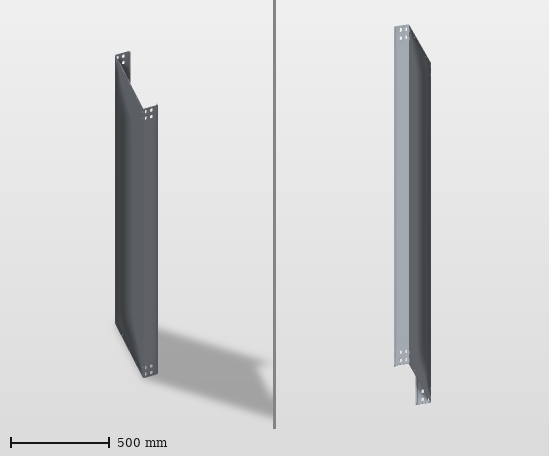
import cadquery as cq

width = 400.0
depth = 80.0
height = 2000.0
sheet = 2.0

lip_width = 10.0
lip_thickness = 8.0
rear_layer = 5.0
rear_edge_radius = 3.0
wall_bend_radius = 5.0

end_inset = 25.0
end_pitch = 48.0
end_slot_length = 25.0
narrow_slot_width = 8.0
narrow_slot_inset = 15.0
wide_slot_width = 15.0
wide_slot_inset = 45.0

row_inset = 18.0
row_pitch = 100.0
row_slot_length = 15.0
row_hole_diameter = 8.0

half_width = width / 2
half_height = height / 2
front_y = -depth / 2
rear_y = depth / 2
end_insets = (end_inset, end_inset + end_pitch)


def upright_bar(bar_width, front, rear):
    """Full-height bar centred on X between two Y positions."""
    return cq.Workplane("XY", origin=(0, (front + rear) / 2, 0)).box(bar_width, rear - front, height)


def channel():
    """Front face and two side walls ending in inward lips rounded in two layers."""
    fold_y = rear_y - rear_layer
    main_layer = upright_bar(width, front_y, fold_y).edges("|Z and >Y").fillet(wall_bend_radius)
    back_layer = upright_bar(width, fold_y, rear_y).edges("|Z and >Y").fillet(rear_edge_radius)
    cavity = upright_bar(width - 2 * sheet, front_y + sheet, rear_y - lip_thickness)
    opening = upright_bar(width - 2 * lip_width, front_y + sheet, rear_y)
    return main_layer.union(back_layer).cut(cavity).cut(opening)


def points_at_both_ends(positions, insets):
    """Points at each position, at each inset from the top and bottom ends."""
    return [
        (position, end * (half_height - inset))
        for position in positions
        for inset in insets
        for end in (-1, 1)
    ]


def front_points(positions, insets):
    """Workplane on the inner side of the front face, facing outward, with points."""
    plane = cq.Workplane("XZ", origin=(0, front_y + sheet, 0))
    return plane.pushPoints(points_at_both_ends(positions, insets))


def corner_slots():
    """Upright slots in the corners of the front face."""
    corner_x = half_width - narrow_slot_inset
    points = front_points((-corner_x, corner_x), end_insets)
    return points.slot2D(end_slot_length, narrow_slot_width, 90).extrude(sheet)


def row_slots():
    """Flat slots on either side of the middle hole at each end of the front face."""
    points = front_points((-row_pitch, row_pitch), (row_inset,))
    return points.slot2D(row_slot_length, row_hole_diameter).extrude(sheet)


def row_middle_holes():
    """Round hole at the middle of each end of the front face."""
    points = front_points((0,), (row_inset,))
    return points.circle(row_hole_diameter / 2).extrude(sheet)


def side_slots(inset, slot_width):
    """Upright slots through both side walls at one distance from the front face."""
    return (
        cq.Workplane("YZ", origin=(-half_width, 0, 0))
        .pushPoints(points_at_both_ends((front_y + inset,), end_insets))
        .slot2D(end_slot_length, slot_width, 90)
        .extrude(width)
    )


result = (
    channel()
    .cut(corner_slots())
    .cut(row_slots())
    .cut(row_middle_holes())
    .cut(side_slots(narrow_slot_inset, narrow_slot_width))
    .cut(side_slots(wide_slot_inset, wide_slot_width))
)